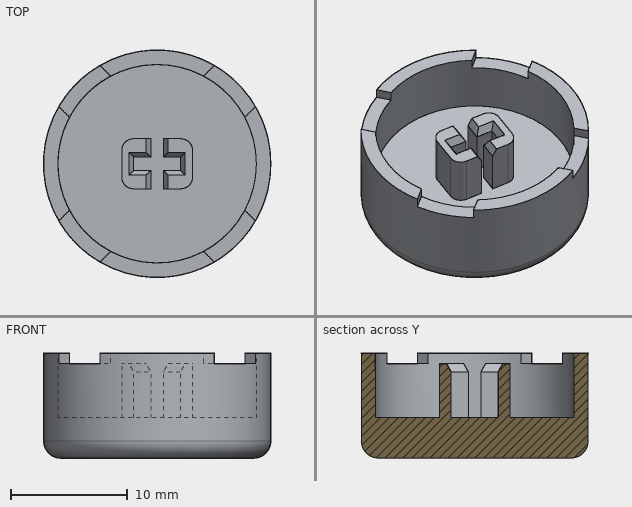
import cadquery as cq

outer_diameter = 19.5
inner_diameter = 17.0
height = 9.0
floor_height = 3.51
bottom_radius = 1.5

notch_width = 5.0
notch_depth = 0.9
notch_angles = (45, 135)

stem_length = 6.06
stem_width = 4.29
stem_corner_radius = 1.0
stem_top = height - notch_depth

socket_length = 4.02
socket_width = 1.15
split_width = 1.1
lead_in = 0.39
lead_in_depth = 0.7


def make_cup():
    body = cq.Workplane("XY").circle(outer_diameter / 2).extrude(height)
    body = body.faces("<Z").edges().fillet(bottom_radius)
    cavity = (
        cq.Workplane("XY", origin=(0, 0, floor_height))
        .circle(inner_diameter / 2)
        .extrude(height - floor_height)
    )
    return body.cut(cavity)


def make_notch(angle):
    """Slot across the whole rim, giving two opposite notches."""
    return (
        cq.Workplane("XY", origin=(0, 0, stem_top))
        .rect(outer_diameter, notch_width)
        .extrude(notch_depth)
        .rotate((0, 0, 0), (0, 0, 1), angle)
    )


def make_socket_arm(length, width, flared_length):
    """Straight slot with a sloped lead-in at the top of the stem."""
    flare_start = stem_top - lead_in_depth
    slot = (
        cq.Workplane("XY", origin=(0, 0, floor_height))
        .rect(length, width)
        .extrude(stem_top - floor_height)
    )
    flare = (
        cq.Workplane("XY", origin=(0, 0, flare_start))
        .rect(length, width)
        .workplane(offset=lead_in_depth)
        .rect(flared_length, width + 2 * lead_in)
        .loft(ruled=True)
    )
    return slot.union(flare)


def make_stem():
    stem = (
        cq.Workplane("XY", origin=(0, 0, floor_height))
        .rect(stem_length, stem_width)
        .extrude(stem_top - floor_height)
        .edges("|Z")
        .fillet(stem_corner_radius)
    )
    socket = make_socket_arm(socket_length, socket_width, socket_length + 2 * lead_in)
    split = make_socket_arm(stem_width, split_width, stem_width)
    split = split.rotate((0, 0, 0), (0, 0, 1), 90)
    return stem.cut(socket).cut(split)


cup = make_cup()
for notch_angle in notch_angles:
    cup = cup.cut(make_notch(notch_angle))

result = cup.union(make_stem())